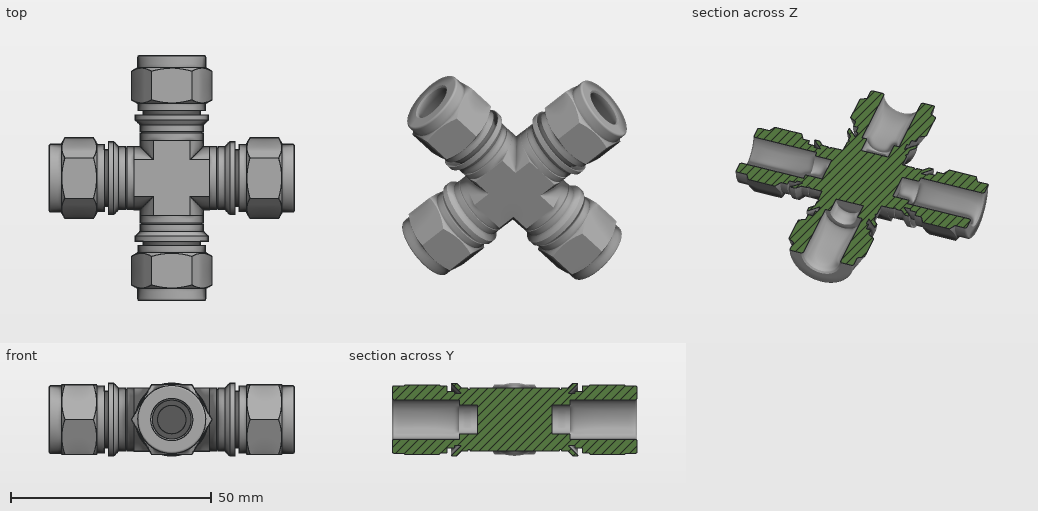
import cadquery as cq
import math


OVERALL_SPAN = 61.23
ARM_LENGTH = OVERALL_SPAN / 2
ARM_COUNT = 4
ARM_SPACING = 360 / ARM_COUNT

HEX_SIDES = 6

BODY_ACROSS_FLATS = 15.875
BODY_HALF_LENGTH = 9.40

SHANK_DIAMETER = 15.8
GROOVE_DIAMETER = 15.1
GROOVE_START = 11.22
GROOVE_END = 11.59
FLANGE_DIAMETER = 18.25
FLANGE_RIM_START = 14.52
FLANGE_FACE = 15.82
FLANGE_DISH_DIAMETER = 17.86

NECK_DIAMETER = 14.28
NECK_START = 15.04
UNDERCUT_DIAMETER = 13.05

COLLAR_DIAMETER = 16.8
COLLAR_START = 16.83
HEX_ACROSS_FLATS = 17.46
HEX_START = 18.64
HEX_END = 27.60
HEX_TURN = 180 / HEX_SIDES
HEX_CHAMFER_ANGLE = math.radians(30)
NUT_END_DIAMETER = 17.0
NUT_END_FILLET = 0.5

TUBE_BORE_DIAMETER = 9.73
TUBE_BORE_DEPTH = 16.8
FLOW_BORE_DIAMETER = 7.11
FLOW_BORE_END = BODY_HALF_LENGTH
MOUTH_CHAMFER = 0.4


def corner_diameter(across_flats):
    return across_flats / math.cos(math.pi / HEX_SIDES)


def cylinder(diameter, start, end):
    """Cylinder along Z between two stations."""
    return cq.Workplane("XY").workplane(offset=start).circle(diameter / 2).extrude(end - start)


def body_bar():
    """Bar along X: hexagonal above and below, with both sides rounded to the inscribed circle."""
    radius = BODY_ACROSS_FLATS / 2
    flat_half_width = radius * math.tan(math.pi / HEX_SIDES)
    tangent_y = radius * math.cos(math.pi / HEX_SIDES)
    tangent_z = radius * math.sin(math.pi / HEX_SIDES)
    return (
        cq.Workplane("YZ")
        .moveTo(-flat_half_width, radius)
        .lineTo(flat_half_width, radius)
        .lineTo(tangent_y, tangent_z)
        .threePointArc((radius, 0), (tangent_y, -tangent_z))
        .lineTo(flat_half_width, -radius)
        .lineTo(-flat_half_width, -radius)
        .lineTo(-tangent_y, -tangent_z)
        .threePointArc((-radius, 0), (-tangent_y, tangent_z))
        .close()
        .extrude(BODY_HALF_LENGTH, both=True)
    )


def cross_body():
    bar = body_bar()
    return bar.union(bar.rotate((0, 0, 0), (0, 0, 1), ARM_SPACING))


def shank():
    """Round part of an arm, from the centre out to the nut, as a revolved profile."""
    shank_radius = SHANK_DIAMETER / 2
    groove_radius = GROOVE_DIAMETER / 2
    flange_radius = FLANGE_DIAMETER / 2
    dish_radius = FLANGE_DISH_DIAMETER / 2
    undercut_radius = UNDERCUT_DIAMETER / 2
    neck_radius = NECK_DIAMETER / 2
    slope_start = FLANGE_RIM_START - (flange_radius - shank_radius)
    dish_floor = FLANGE_FACE - (dish_radius - undercut_radius)
    return (
        cq.Workplane("XZ")
        .moveTo(0, 0)
        .lineTo(shank_radius, 0)
        .lineTo(shank_radius, GROOVE_START)
        .lineTo(groove_radius, GROOVE_START)
        .lineTo(groove_radius, GROOVE_END)
        .lineTo(shank_radius, GROOVE_END)
        .lineTo(shank_radius, slope_start)
        .lineTo(flange_radius, FLANGE_RIM_START)
        .lineTo(flange_radius, FLANGE_FACE)
        .lineTo(dish_radius, FLANGE_FACE)
        .lineTo(undercut_radius, dish_floor)
        .lineTo(undercut_radius, NECK_START)
        .lineTo(neck_radius, NECK_START)
        .lineTo(neck_radius, COLLAR_START)
        .lineTo(0, COLLAR_START)
        .close()
        .revolve(360, (0, 0, 0), (0, 1, 0))
    )


def nut_hexagon():
    """Hexagon, flats facing up and down on the arm, with its corners conically chamfered at both ends."""
    corner = corner_diameter(HEX_ACROSS_FLATS)
    hexagon = (
        cq.Workplane("XY")
        .workplane(offset=HEX_START)
        .polygon(HEX_SIDES, corner)
        .extrude(HEX_END - HEX_START)
        .rotate((0, 0, 0), (0, 0, 1), HEX_TURN)
    )
    chamfer_width = (corner - NUT_END_DIAMETER) / 2
    chamfer_height = chamfer_width * math.tan(HEX_CHAMFER_ANGLE)
    envelope = (
        cylinder(corner, HEX_START, HEX_END)
        .faces("<Z or >Z")
        .edges()
        .chamfer(chamfer_height, chamfer_width)
    )
    return hexagon.intersect(envelope)


def nut():
    collar = cylinder(COLLAR_DIAMETER, COLLAR_START, HEX_START)
    end = cylinder(NUT_END_DIAMETER, HEX_END, ARM_LENGTH).faces(">Z").edges().fillet(NUT_END_FILLET)
    return collar.union(nut_hexagon()).union(end)


def stepped_bore():
    """Volume removed from an arm: chamfered tube socket and a narrower blind flow bore."""
    socket_floor = ARM_LENGTH - TUBE_BORE_DEPTH
    socket = cylinder(TUBE_BORE_DIAMETER, socket_floor, ARM_LENGTH)
    flow_bore = cylinder(FLOW_BORE_DIAMETER, FLOW_BORE_END, socket_floor)
    bore_radius = TUBE_BORE_DIAMETER / 2
    mouth = cq.Workplane(
        cq.Solid.makeCone(
            bore_radius,
            bore_radius + MOUTH_CHAMFER,
            MOUTH_CHAMFER,
            pnt=cq.Vector(0, 0, ARM_LENGTH - MOUTH_CHAMFER),
        )
    )
    return socket.union(flow_bore).union(mouth)


def place_on_arm(shape, index):
    """Turn a shape built along Z onto +X, then around Z onto the given arm."""
    along_x = shape.rotate((0, 0, 0), (0, 1, 0), 90)
    return along_x.rotate((0, 0, 0), (0, 0, 1), index * ARM_SPACING)


arm = shank().union(nut())
bore = stepped_bore()

result = cross_body()
for arm_index in range(ARM_COUNT):
    result = result.union(place_on_arm(arm, arm_index))
for arm_index in range(ARM_COUNT):
    result = result.cut(place_on_arm(bore, arm_index))